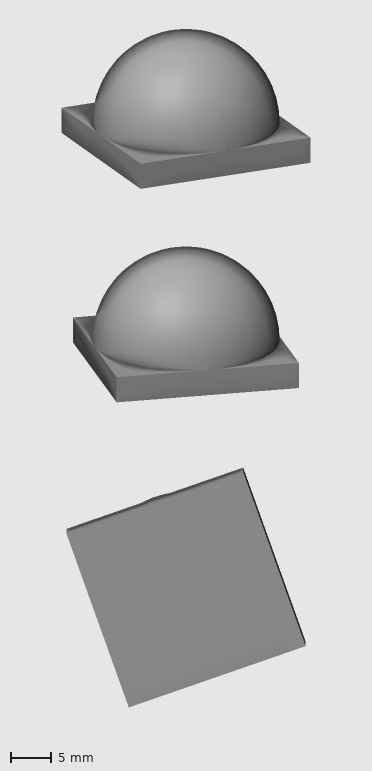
import cadquery as cq

base_side = 23.24
base_height = 3.3
dome_diameter = 23.245


def make_base():
    """Square plate with its underside on Z = 0, centred on the Z axis."""
    return cq.Workplane("XY").box(base_side, base_side, base_height, centered=(True, True, False))


def make_dome():
    """Hemisphere standing on the plate and reaching all four of its sides."""
    plate_top = cq.Workplane("XY", origin=(0, 0, base_height))
    return plate_top.sphere(dome_diameter / 2, angle1=0, angle2=90)


result = make_base().union(make_dome())